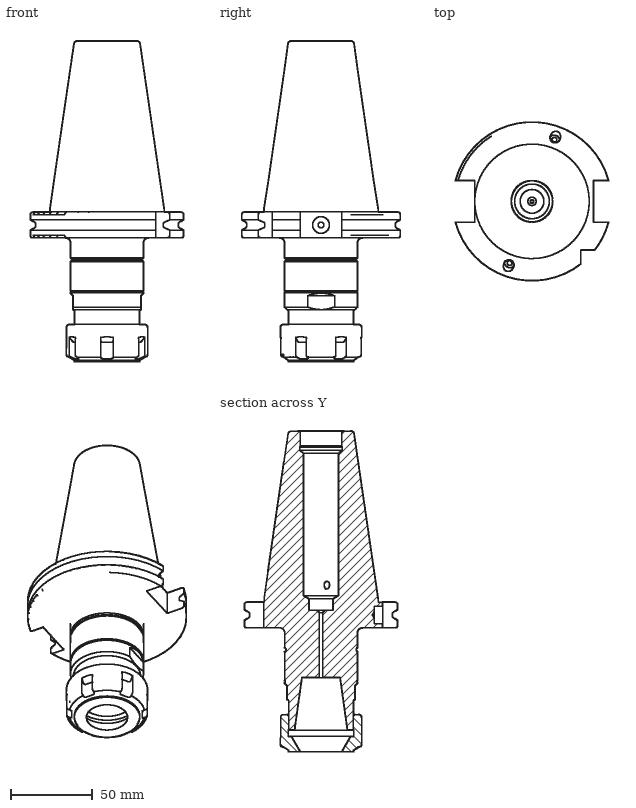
import cadquery as cq
import math


taper_slope = 7 / 48
gauge_radius = 34.92
taper_top = 101.7
taper_base = -1.2
top_outer_round = 2.2
top_inner_round = 1.4

flange_radius = 97.4 / 2
flange_top = -3.1
flange_bottom = -19.0
flange_round = 1.5
flange_mid = (flange_top + flange_bottom) / 2
grip_floor_radius = 45.6
grip_half_width = 3.1
grip_wall_angle = 30
grip_floor_round = 1.2

slot_width = 25.5
slot_floor_left = 35.2
slot_floor_right = 37.8
notch_corner = 30.0
chip_radius = 5.1
chip_floor = 32.7
chip_dimple_radius = 1.8

shank_radius = 22.5
shank_round = 3.0
wide_groove_top = -31.3
wide_groove_bottom = -33.6
wide_groove_depth = 0.8
narrow_groove_top = -51.4
narrow_groove_bottom = -52.5
narrow_groove_depth = 0.4
groove_wall_angle = 45
groove_clearance = 2.0
shank_chamfer_top = -61.4
shoulder_radius = 20.7
shoulder_z = shank_chamfer_top - (shank_radius - shoulder_radius)
flat_distance = 20.9
flat_top = -54.5
neck_radius = 40.0 / 2
neck_end = -81.7

entry_radius = 12.5
entry_end = 92.5
relief_radius = 13.0
relief_top = 91.7
relief_bottom = 90.0
bore_radius = 10.6
bore_top = 88.0
bore_end = 0.8
pocket_radius = 7.3
pocket_end = -8.0
drill_half_angle = 59
pilot_radius = 1.0
pilot_sink_radius = 2.5

seat_floor_radius = 11.6
seat_mouth_radius = 16.1
seat_half_angle = 8

coolant_azimuth = 70
inlet_distance = 42.0
inlet_radius = 3.1
inlet_depth = 3.3
feed_radius = 1.5
junction_distance = 35.8
junction_z = -14.0
branch_radius = 1.8
branch_tilt = 50
branch_overrun = 4.3

nut_radius = 25.0
nut_top = -72.0
nut_bottom = -95.0
nut_top_round = 2.0
nut_bore_chamfer = 0.8
nut_bottom_round_top = -90.3
nut_bottom_round = 1.8
nut_rim_radius = 20.0
nut_rim_height = 1.0
nut_cone_top = -85.5
nut_cone_half_angle = 30
nut_opening_radius = 12.5

wrench_floor_radius = 21.6
wrench_width = 7.5
wrench_floor_round = 1.0
wrench_top = -79.7
tall_wrench_top = -77.5
wrench_count = 6
first_wrench_azimuth = 30
tall_wrench_azimuth = 150


def tan(degrees):
    return math.tan(math.radians(degrees))


def sin(degrees):
    return math.sin(math.radians(degrees))


def cos(degrees):
    return math.cos(math.radians(degrees))


def taper_radius(z):
    return gauge_radius - taper_slope * z


def revolve(profile):
    return profile.close().revolve(360, (0, 0, 0), (0, 1, 0))


arc_inset = 1 - cos(45)


def holder_blank():
    """Taper, flange, shank and neck without any cuts."""
    neck_round = shoulder_radius - neck_radius
    round_base = taper_top - top_outer_round
    lip_radius = taper_radius(round_base)
    profile = (
        cq.Workplane("XZ")
        .moveTo(0, taper_top)
        .lineTo(lip_radius - top_outer_round, taper_top)
        .threePointArc(
            (lip_radius - top_outer_round * arc_inset, taper_top - top_outer_round * arc_inset),
            (lip_radius, round_base),
        )
        .lineTo(taper_radius(taper_base), taper_base)
        .lineTo(taper_radius(taper_base), flange_top)
        .lineTo(flange_radius - flange_round, flange_top)
        .threePointArc(
            (flange_radius - flange_round * arc_inset, flange_top - flange_round * arc_inset),
            (flange_radius, flange_top - flange_round),
        )
        .lineTo(flange_radius, flange_bottom + flange_round)
        .threePointArc(
            (flange_radius - flange_round * arc_inset, flange_bottom + flange_round * arc_inset),
            (flange_radius - flange_round, flange_bottom),
        )
        .lineTo(shank_radius + shank_round, flange_bottom)
        .threePointArc(
            (shank_radius + shank_round * arc_inset, flange_bottom - shank_round * arc_inset),
            (shank_radius, flange_bottom - shank_round),
        )
        .lineTo(shank_radius, shank_chamfer_top)
        .lineTo(shoulder_radius, shoulder_z)
        .threePointArc(
            (neck_radius + neck_round * arc_inset, shoulder_z - neck_round * arc_inset),
            (neck_radius, shoulder_z - neck_round),
        )
        .lineTo(neck_radius, neck_end)
        .lineTo(0, neck_end)
    )
    return revolve(profile)


def ring_groove(outer_radius, floor_radius, top, bottom, wall_angle):
    """Ring cutter for a groove whose walls lean outward by wall_angle from the radial direction."""
    inset = (outer_radius - floor_radius) * tan(wall_angle)
    clear_radius = outer_radius + groove_clearance
    profile = (
        cq.Workplane("XZ")
        .moveTo(clear_radius, top)
        .lineTo(outer_radius, top)
        .lineTo(floor_radius, top - inset)
        .lineTo(floor_radius, bottom + inset)
        .lineTo(outer_radius, bottom)
        .lineTo(clear_radius, bottom)
    )
    return revolve(profile)


def grip_groove():
    """V-sided gripper groove around the flange, rounded at its floor."""
    groove = ring_groove(
        flange_radius,
        grip_floor_radius,
        flange_mid + grip_half_width,
        flange_mid - grip_half_width,
        grip_wall_angle,
    )
    floor_edges = cq.selectors.RadiusNthSelector(0)
    return groove.edges("%CIRCLE").edges(floor_edges).fillet(grip_floor_round)


def shank_grooves():
    """A wide and a narrow shallow groove around the shank."""
    wide_floor = shank_radius - wide_groove_depth
    narrow_floor = shank_radius - narrow_groove_depth
    wide = ring_groove(
        shank_radius, wide_floor, wide_groove_top, wide_groove_bottom, groove_wall_angle
    )
    narrow = ring_groove(
        shank_radius, narrow_floor, narrow_groove_top, narrow_groove_bottom, groove_wall_angle
    )
    return wide.union(narrow)


def flange_block(x, y, width):
    """Block as thick as the flange, centred at (x, y)."""
    thickness = flange_top - flange_bottom
    plane = cq.Workplane("XY", origin=(x, y, flange_bottom))
    return plane.rect(flange_radius, width).extrude(thickness)


def flange_cutouts():
    """Two driving slots and the corner notch, all through the flange thickness."""
    notch_middle = notch_corner + flange_radius / 2
    left = flange_block(-slot_floor_left - flange_radius / 2, 0, slot_width)
    right = flange_block(slot_floor_right + flange_radius / 2, 0, slot_width)
    notch = flange_block(notch_middle, -notch_middle, flange_radius)
    return left.union(right).union(notch)


def chip_pocket():
    """Blind round pocket in the right slot floor with a conical dimple at its centre."""
    dimple_depth = chip_dimple_radius / tan(drill_half_angle)
    profile = (
        cq.Workplane("XY")
        .moveTo(chip_floor - dimple_depth, 0)
        .lineTo(chip_floor, chip_dimple_radius)
        .lineTo(chip_floor, chip_radius)
        .lineTo(slot_floor_right, chip_radius)
        .lineTo(slot_floor_right, 0)
    )
    return profile.close().revolve(360, (0, 0, 0), (1, 0, 0)).translate((0, 0, flange_mid))


def shank_flats():
    """Cutters for two opposite flats whose upper ends slope outward at 45 degrees."""
    width = 2 * shank_radius
    reach = shank_radius
    profile = (
        cq.Workplane("XZ", origin=(0, width / 2, 0))
        .moveTo(flat_distance, flat_top)
        .lineTo(flat_distance, shoulder_z)
        .lineTo(flat_distance + reach, shoulder_z)
        .lineTo(flat_distance + reach, flat_top + reach)
    )
    flat = profile.close().extrude(width)
    return flat.union(flat.mirror("YZ"))


def axial_bore():
    """Everything hollow on the axis, from the rounded mouth down to the collet seat."""
    pocket_top = bore_end - (bore_radius - pocket_radius) / tan(drill_half_angle)
    sink_end = pocket_end - (pilot_sink_radius - pilot_radius)
    seat_floor = neck_end + (seat_mouth_radius - seat_floor_radius) / tan(seat_half_angle)
    profile = (
        cq.Workplane("XZ")
        .moveTo(0, taper_top)
        .lineTo(entry_radius + top_inner_round, taper_top)
        .threePointArc(
            (entry_radius + top_inner_round * arc_inset, taper_top - top_inner_round * arc_inset),
            (entry_radius, taper_top - top_inner_round),
        )
        .lineTo(entry_radius, entry_end)
        .lineTo(relief_radius, relief_top)
        .lineTo(relief_radius, relief_bottom)
        .lineTo(bore_radius, bore_top)
        .lineTo(bore_radius, bore_end)
        .lineTo(pocket_radius, pocket_top)
        .lineTo(pocket_radius, pocket_end)
        .lineTo(pilot_sink_radius, pocket_end)
        .lineTo(pilot_radius, sink_end)
        .lineTo(pilot_radius, seat_floor)
        .lineTo(seat_floor_radius, seat_floor)
        .lineTo(seat_mouth_radius, neck_end)
        .lineTo(0, neck_end)
    )
    return revolve(profile)


def coolant_channel():
    """Tilted inlet and feed hole from the flange face, then a branch rising to the axial bore."""
    inlet_point = cq.Vector(inlet_distance, 0, flange_top)
    junction = cq.Vector(junction_distance, 0, junction_z)
    feed_path = junction - inlet_point
    feed = cq.Solid.makeCylinder(feed_radius, feed_path.Length, inlet_point, feed_path)
    feed_unit = feed_path.normalized()
    inlet_start = inlet_point - feed_unit * inlet_radius
    inlet = cq.Solid.makeCylinder(inlet_radius, inlet_radius + inlet_depth, inlet_start, feed_unit)
    branch_unit = cq.Vector(-sin(branch_tilt), 0, cos(branch_tilt))
    branch_start = junction - branch_unit * branch_overrun
    branch_length = (branch_start.x - bore_radius / 2) / sin(branch_tilt)
    branch = cq.Solid.makeCylinder(branch_radius, branch_length, branch_start, branch_unit)
    return cq.Workplane(feed).union(cq.Workplane(inlet)).union(cq.Workplane(branch))


def make_holder():
    """Holder with all grooves, cutouts, bores and coolant channels."""
    holder = (
        holder_blank()
        .cut(grip_groove())
        .cut(shank_grooves())
        .cut(flange_cutouts())
        .cut(chip_pocket())
        .cut(shank_flats())
        .cut(axial_bore())
    )
    for azimuth in (coolant_azimuth, coolant_azimuth + 180):
        holder = holder.cut(coolant_channel().rotate((0, 0, 0), (0, 0, 1), azimuth))
    return holder


def nut_blank():
    """Turned nut: rounded outside, bored for the neck, conical seat at the lower opening."""
    rim_top = nut_bottom + nut_rim_height
    round_end_radius = nut_radius - nut_bottom_round
    round_end = nut_bottom_round_top - nut_bottom_round
    cone_radius = nut_opening_radius + (nut_cone_top - nut_bottom) * tan(nut_cone_half_angle)
    profile = (
        cq.Workplane("XZ")
        .moveTo(neck_radius + nut_bore_chamfer, nut_top)
        .lineTo(nut_radius - nut_top_round, nut_top)
        .threePointArc(
            (nut_radius - nut_top_round * arc_inset, nut_top - nut_top_round * arc_inset),
            (nut_radius, nut_top - nut_top_round),
        )
        .lineTo(nut_radius, nut_bottom_round_top)
        .threePointArc(
            (nut_radius - nut_bottom_round * arc_inset, nut_bottom_round_top - nut_bottom_round * cos(45)),
            (round_end_radius, round_end),
        )
        .lineTo(nut_rim_radius, rim_top)
        .lineTo(nut_rim_radius, nut_bottom)
        .lineTo(nut_opening_radius, nut_bottom)
        .lineTo(cone_radius, nut_cone_top)
        .lineTo(neck_radius, nut_cone_top)
        .lineTo(neck_radius, nut_top - nut_bore_chamfer)
    )
    return revolve(profile)


def wrench_slot(top):
    """Slot cutter on the +X side, open outward and downward."""
    depth = nut_radius - wrench_floor_radius
    reach = 2 * depth
    half_width = wrench_width / 2
    prism = (
        cq.Workplane("XY", origin=(wrench_floor_radius + reach / 2, 0, nut_bottom))
        .rect(reach, wrench_width)
        .extrude(top - nut_bottom + reach)
        .edges("|Z and <X")
        .fillet(wrench_floor_round)
    )
    side = (
        cq.Workplane("XZ", origin=(wrench_floor_radius, half_width, 0))
        .moveTo(0, nut_bottom)
        .lineTo(0, top - depth)
        .lineTo(reach, top - depth + reach)
        .lineTo(reach, nut_bottom)
    )
    return prism.intersect(side.close().extrude(wrench_width))


def make_nut():
    """Nut with six wrench slots, one of them longer."""
    nut = nut_blank()
    for index in range(wrench_count):
        azimuth = first_wrench_azimuth + index * 360 / wrench_count
        top = tall_wrench_top if azimuth == tall_wrench_azimuth else wrench_top
        nut = nut.cut(wrench_slot(top).rotate((0, 0, 0), (0, 0, 1), azimuth))
    return nut


holder = make_holder()
nut = make_nut()
result = cq.Compound.makeCompound([holder.val(), nut.val()])